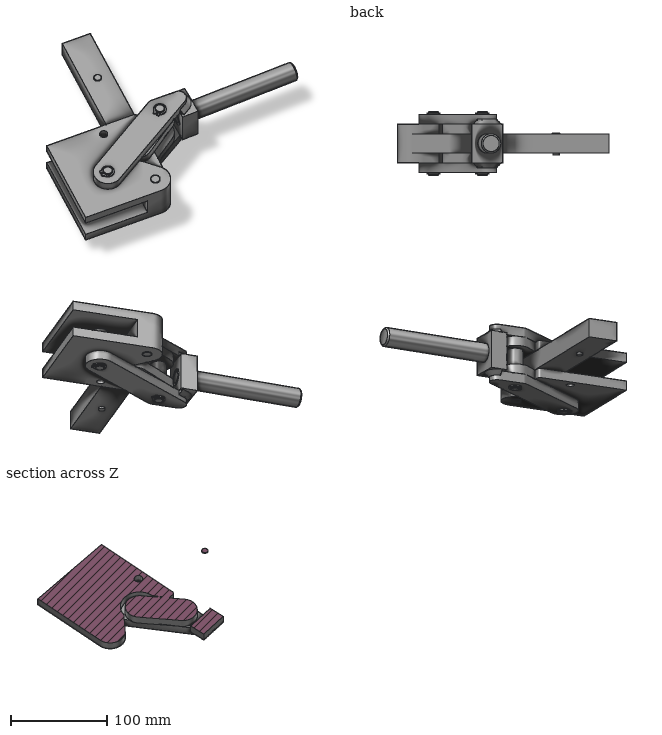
import cadquery as cq
import math


OVERALL_LENGTH = 220.0
OVERALL_DEPTH = 280.0
OVERALL_HEIGHT = 66.0

LAYER = 10.0
BAR_TOP = LAYER
PLATE_TOP = 2 * LAYER
LINK_TOP = 3 * LAYER
PIN_TOP = OVERALL_HEIGHT / 2

BAR_HALF_WIDTH = 16.0
PIVOT = (OVERALL_LENGTH - BAR_HALF_WIDTH, 86.2)
BAR_JOINT = (158.0, PIVOT[1])
TIP_PIN = (55.2, PIVOT[1])

PLATE_WIDTH = 100.2
PLATE_LEFT = OVERALL_LENGTH - PLATE_WIDTH
PLATE_SHOULDER = 101.5
SHOULDER_LENGTH = 9.0
CORNER_RADIUS = 3.0
CLEARANCE_RADIUS = 19.5
PLATE_HOLE = (130.0, 60.2)
PLATE_HOLE_RADIUS = 4.2

LOWER_PIN = (182.5, 41.7)
UPPER_PIN = (131.5, 123.2)
LINK_RADIUS = 15.0
LINK_TIP = (125.1, 147.3)
LINK_TIP_RADIUS = 8.0

PIN_RADIUS = 5.0
PIN_CHAMFER = 0.5
SLEEVE_RADIUS = 8.0
SLEEVE_CHAMFER = 0.8
RING_RADIUS = 6.7
RING_THICKNESS = 1.5
EAR_REACH = 7.8
EAR_SPAN = 6.7
EAR_GAP = 1.7
LOWER_EAR_ANGLE = -90
UPPER_EAR_ANGLE = -55
TIP_HEAD_RADIUS = 4.2
TIP_HEAD_HEIGHT = 0.8
TIP_SHANK_RADIUS = 3.4
TIP_SHANK_LENGTH = 2.0

HANDLE_TILT = 1.9
BLOCK_TOP_CENTER = (126.5, 161.3)
BLOCK_WIDTH = 32.2
BLOCK_DEPTH = 18.0
ROD_RADIUS = 10.0
ROD_END_CHAMFER = 1.7
SPIGOT_RADIUS = 9.0
SPIGOT_CHAMFER = 3.0
BEAD_SIZE = 5.0
BEAD_STRAIGHT = 9.2


def slab(outline, bottom, top):
    """Extrude a closed outline between two heights."""
    return outline.extrude(top - bottom).translate((0, 0, bottom))


def cylinder(center, radius, bottom, top):
    """Upright cylinder between two heights."""
    return slab(cq.Workplane("XY").center(*center).circle(radius), bottom, top)


def polar(center, radius, angle):
    """Point at an angle in degrees on a circle."""
    turn = math.radians(angle)
    return (center[0] + radius * math.cos(turn), center[1] + radius * math.sin(turn))


def direction(start, end):
    """Angle in degrees of the line from start to end."""
    return math.degrees(math.atan2(end[1] - start[1], end[0] - start[0]))


LINK_ANGLE = direction(UPPER_PIN, LOWER_PIN)
LINK_LEFT = LINK_TIP[0] - LINK_TIP_RADIUS


def make_bar():
    """Square bar with its upper corner rounded about the pivot."""
    top = PIVOT[1] + BAR_HALF_WIDTH
    bottom = PIVOT[1] - BAR_HALF_WIDTH
    outline = (
        cq.Workplane("XY")
        .moveTo(0, bottom)
        .lineTo(OVERALL_LENGTH, bottom)
        .lineTo(OVERALL_LENGTH, PIVOT[1])
        .threePointArc(polar(PIVOT, BAR_HALF_WIDTH, 45), (PIVOT[0], top))
        .lineTo(0, top)
        .close()
    )
    return slab(outline, -BAR_TOP, BAR_TOP)


def make_tip_pin():
    """Small headed pin through the free end of the bar."""
    head = cylinder(TIP_PIN, TIP_HEAD_RADIUS, BAR_TOP, BAR_TOP + TIP_HEAD_HEIGHT)
    shank = cylinder(TIP_PIN, TIP_SHANK_RADIUS, -BAR_TOP - TIP_SHANK_LENGTH, -BAR_TOP)
    return head.faces(">Z").chamfer(PIN_CHAMFER).union(shank)


def make_plate():
    """Upper side plate: a rounded pivot ear and a notch that clears the connecting link."""
    ramp_top = polar(PIVOT, BAR_HALF_WIDTH, 135)
    ramp_drop = ramp_top[1] - PIVOT[1]
    ramp_foot = (ramp_top[0] - 2 * ramp_drop, ramp_top[1] - 2 * ramp_drop)
    shoulder_end = PLATE_LEFT + SHOULDER_LENGTH
    notch_left = BAR_JOINT[0] - CLEARANCE_RADIUS
    outline = (
        cq.Workplane("XY")
        .moveTo(PLATE_LEFT, 0)
        .lineTo(OVERALL_LENGTH, 0)
        .lineTo(OVERALL_LENGTH, PIVOT[1])
        .threePointArc(polar(PIVOT, BAR_HALF_WIDTH, 60), ramp_top)
        .lineTo(*ramp_foot)
        .lineTo(notch_left, PIVOT[1])
        .lineTo(shoulder_end, PLATE_SHOULDER)
        .lineTo(PLATE_LEFT + CORNER_RADIUS, PLATE_SHOULDER)
        .radiusArc((PLATE_LEFT, PLATE_SHOULDER - CORNER_RADIUS), -CORNER_RADIUS)
        .close()
    )
    plate = slab(outline, BAR_TOP, PLATE_TOP)
    notch = cylinder(BAR_JOINT, CLEARANCE_RADIUS, BAR_TOP, PLATE_TOP)
    hole = cylinder(PLATE_HOLE, PLATE_HOLE_RADIUS, BAR_TOP, PLATE_TOP)
    pivot_bore = cylinder(PIVOT, PIN_RADIUS, BAR_TOP, PLATE_TOP)
    pivot_pin = pivot_bore.faces(">Z").chamfer(PIN_CHAMFER)
    return plate.cut(notch).cut(hole).cut(pivot_bore).union(pivot_pin)


def make_lever_link():
    """Upper lever link: straight sides, two pin ends and a narrow tip at the handle."""
    right_side = LINK_ANGLE + 90
    left_side = LINK_ANGLE - 90
    heel_drop = math.sqrt(LINK_RADIUS**2 - (UPPER_PIN[0] - LINK_LEFT) ** 2)
    heel_start = (LINK_LEFT, UPPER_PIN[1] - heel_drop)
    heel_end = polar(UPPER_PIN, LINK_RADIUS, left_side)
    heel_middle = polar(
        UPPER_PIN,
        LINK_RADIUS,
        (direction(UPPER_PIN, heel_start) + left_side) / 2,
    )
    outline = (
        cq.Workplane("XY")
        .moveTo(LINK_LEFT, LINK_TIP[1])
        .lineTo(*heel_start)
        .threePointArc(heel_middle, heel_end)
        .lineTo(*polar(LOWER_PIN, LINK_RADIUS, left_side))
        .threePointArc(
            polar(LOWER_PIN, LINK_RADIUS, LINK_ANGLE),
            polar(LOWER_PIN, LINK_RADIUS, right_side),
        )
        .lineTo(*polar(LINK_TIP, LINK_TIP_RADIUS, right_side))
        .threePointArc(polar(LINK_TIP, LINK_TIP_RADIUS, 90), (LINK_LEFT, LINK_TIP[1]))
        .close()
    )
    return slab(outline, PLATE_TOP, LINK_TOP)


def make_connecting_link():
    """Upper short link from the upper lever pin down to the bar."""
    span = math.hypot(BAR_JOINT[0] - UPPER_PIN[0], BAR_JOINT[1] - UPPER_PIN[1])
    middle = ((UPPER_PIN[0] + BAR_JOINT[0]) / 2, (UPPER_PIN[1] + BAR_JOINT[1]) / 2)
    outline = (
        cq.Workplane("XY")
        .center(*middle)
        .slot2D(span + 2 * LINK_RADIUS, 2 * LINK_RADIUS, direction(UPPER_PIN, BAR_JOINT))
    )
    return slab(outline, BAR_TOP, PLATE_TOP)


def make_pin_end(center, ear_angle):
    """Pin end above the lever link with an eared retaining ring around it."""
    ring_top = LINK_TOP + RING_THICKNESS
    ring = cylinder((0, 0), RING_RADIUS, LINK_TOP, ring_top)
    ear_center = cq.Workplane("XY").center(EAR_REACH / 2, 0)
    ears = slab(ear_center.rect(EAR_REACH, EAR_SPAN), LINK_TOP, ring_top)
    gap = slab(ear_center.rect(EAR_REACH, EAR_GAP), LINK_TOP, ring_top)
    pin = cylinder((0, 0), PIN_RADIUS, LINK_TOP, PIN_TOP).faces(">Z").chamfer(PIN_CHAMFER)
    pin_end = ring.union(ears).cut(gap).union(pin)
    return pin_end.rotate((0, 0, 0), (0, 0, 1), ear_angle).translate((*center, 0))


def make_sleeve(center):
    """Spacer sleeve between the two inner layers."""
    return cylinder(center, SLEEVE_RADIUS, -BAR_TOP, BAR_TOP).faces("<Z or >Z").chamfer(SLEEVE_CHAMFER)


def make_weld_bead():
    """Triangular bead on the handle block, around the link tip and down its right side."""
    end_angle = LINK_ANGLE + 90
    profile = [(0, 0), (BEAD_SIZE, 0), (0, BEAD_SIZE)]
    start = polar(LINK_TIP, LINK_TIP_RADIUS, end_angle)
    plane = cq.Plane(
        origin=(*start, PLATE_TOP),
        xDir=(*polar((0, 0), 1, end_angle), 0),
        normal=(*polar((0, 0), 1, LINK_ANGLE), 0),
    )
    straight = cq.Workplane(plane).polyline(profile).close().extrude(BEAD_STRAIGHT)
    bend = (
        cq.Workplane(plane)
        .polyline(profile)
        .close()
        .revolve(180 - end_angle, (-LINK_TIP_RADIUS, 0), (-LINK_TIP_RADIUS, 1))
    )
    return straight.union(bend)


def make_handle():
    """Handle block with the rod and its spigot, tilted about the block's top edge."""
    tilt = math.radians(HANDLE_TILT)
    edge_rise = (ROD_RADIUS - ROD_END_CHAMFER) * math.sin(tilt)
    rod_length = (OVERALL_DEPTH - BLOCK_TOP_CENTER[1] - edge_rise) / math.cos(tilt)
    block = cq.Workplane("XY").box(BLOCK_WIDTH, BLOCK_DEPTH, 2 * PLATE_TOP)
    block = block.translate((0, -BLOCK_DEPTH / 2, 0))
    bore = cq.Workplane("XZ").circle(SPIGOT_RADIUS).extrude(BLOCK_DEPTH)
    spigot = bore.faces("<Y").chamfer(SPIGOT_CHAMFER)
    rod = cq.Workplane("XZ").circle(ROD_RADIUS).extrude(-rod_length)
    rod = rod.faces(">Y").chamfer(ROD_END_CHAMFER)
    handle = block.cut(bore).union(spigot).union(rod)
    return handle.rotate((0, 0, 0), (0, 0, 1), HANDLE_TILT).translate((*BLOCK_TOP_CENTER, 0))


upper_half = [
    make_plate(),
    make_connecting_link(),
    make_lever_link(),
    make_weld_bead(),
    make_pin_end(LOWER_PIN, LOWER_EAR_ANGLE),
    make_pin_end(UPPER_PIN, UPPER_EAR_ANGLE),
]

result = make_bar().union(make_tip_pin()).union(make_handle())
for center in (LOWER_PIN, UPPER_PIN):
    result = result.union(make_sleeve(center))
for piece in upper_half:
    result = result.union(piece).union(piece.mirror("XY"))